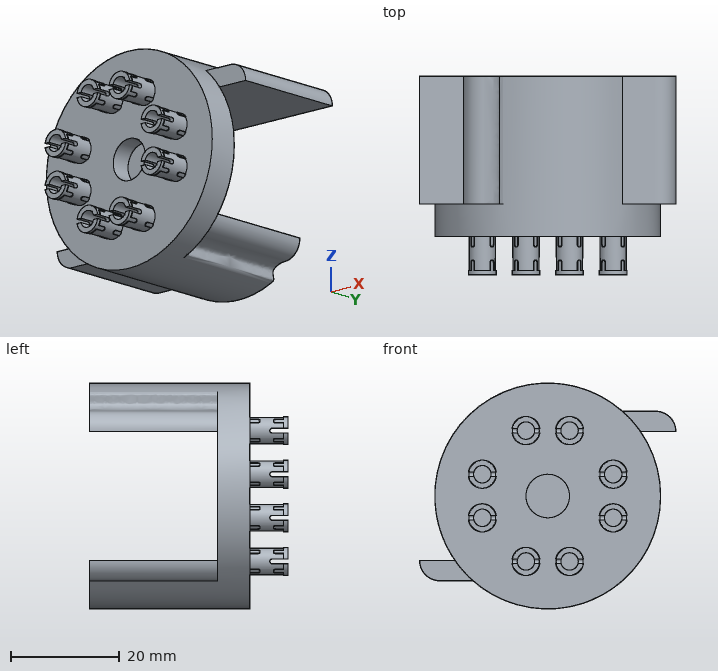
import cadquery as cq
import math


plate_diameter = 41.5
plate_radius = plate_diameter / 2
plate_thickness = 6.0
socket_radius = 4.0
socket_depth = 4.0

body_depth = 29.5
arm_inner_height = 11.8
arm_thickness = 3.75
arm_top = arm_inner_height + arm_thickness
wing_reach = 23.55
short_reach = 15.45
shoulder_offset = 8.2
hollow_wall_offset = 8.75
hollow_rise = 0.55
hollow_bend = 0.75
hollow_roll = 0.35

pin_near_offset = 4.0
pin_far_offset = 3 * pin_near_offset
pin_length = 7.0
pin_radius = 2.45
pin_bore_radius = 1.6
collar_radius = 2.6
collar_length = 0.85
slot_width = 0.85
slot_depth = 3.35
rib_width = 0.85
rib_length = 1.9
rib_angles = (45, 135, 225, 315)


def arc_point(center_x, center_z, radius, angle):
    """Point on a circle in the XZ plane at the given angle in degrees."""
    turn = math.radians(angle)
    return (center_x + radius * math.cos(turn), center_z + radius * math.sin(turn))


def half_turn(shape):
    """The shape turned half a turn about the Y axis, from the upper arm to the lower one."""
    return shape.rotate((0, 0, 0), (0, 1, 0), 180)


def make_arm_gap():
    """Open space behind the plate, between the flat faces of the two arms."""
    gap_depth = body_depth - plate_thickness
    return (
        cq.Workplane("XZ", origin=(0, plate_thickness, 0))
        .rect(2 * plate_radius, 2 * arm_inner_height)
        .extrude(-gap_depth)
    )


def make_lip_relief():
    """Material taken off the -X side of the upper arm, leaving a rounded lip below a hollow."""
    lip_center = arm_thickness - short_reach
    shoulder_height = math.sqrt(plate_radius**2 - shoulder_offset**2)

    hollow = [
        (-hollow_wall_offset - hollow_bend, arm_top + hollow_rise),
        (-hollow_wall_offset, arm_top + hollow_rise + hollow_bend),
        (-hollow_wall_offset, shoulder_height - hollow_roll),
        (-shoulder_offset, shoulder_height),
    ]

    return (
        cq.Workplane("XZ", origin=(0, plate_thickness, 0))
        .moveTo(-short_reach, arm_inner_height)
        .threePointArc(
            arc_point(lip_center, arm_inner_height, arm_thickness, 135),
            (lip_center, arm_top),
        )
        .spline(hollow, tangents=[(1, 0), (1, 1)], includeCurrent=True)
        .lineTo(-plate_radius, shoulder_height)
        .lineTo(-plate_radius, arm_inner_height)
        .close()
        .extrude(plate_thickness - body_depth)
    )


def make_wing():
    """Flat wing of the upper arm toward +X, with its upper outer edge rounded over."""
    wing_center = wing_reach - arm_thickness
    return (
        cq.Workplane("XZ", origin=(0, plate_thickness, 0))
        .moveTo(0, arm_inner_height)
        .lineTo(0, arm_top)
        .lineTo(wing_center, arm_top)
        .threePointArc(
            arc_point(wing_center, arm_inner_height, arm_thickness, 45),
            (wing_reach, arm_inner_height),
        )
        .close()
        .extrude(plate_thickness - body_depth)
    )


def make_housing():
    """Round plate with a blind socket in its open face and two arms behind it."""
    lip_relief = make_lip_relief()
    wing = make_wing()
    socket = cq.Workplane("XZ").circle(socket_radius).extrude(-socket_depth)
    housing = cq.Workplane("XZ").circle(plate_radius).extrude(-body_depth)
    housing = housing.cut(make_arm_gap()).cut(lip_relief).cut(half_turn(lip_relief))
    return housing.union(wing).union(half_turn(wing)).cut(socket)


def make_rib(start, direction, angle):
    """Raised rib with a round end, running along the pin from `start` out to the collar radius."""
    straight = rib_length - rib_width / 2
    bar = (
        cq.Workplane("XY")
        .center(0, start + direction * straight / 2)
        .rect(rib_width, straight)
        .extrude(2 * collar_radius)
    )
    tip = (
        cq.Workplane("XY")
        .center(0, start + direction * straight)
        .circle(rib_width / 2)
        .extrude(2 * collar_radius)
    )
    limit = cq.Workplane("XZ").circle(collar_radius).extrude(pin_length)
    return bar.union(tip).intersect(limit).rotate((0, 0, 0), (0, 1, 0), angle)


def make_pin():
    """Hollow pin with an end collar, a cross slot through the end and ribs at both ends."""
    collar_start = pin_length - collar_length
    pin = cq.Workplane("XZ").circle(pin_radius).extrude(pin_length)
    collar = cq.Workplane("XZ", origin=(0, -collar_start, 0)).circle(collar_radius).extrude(collar_length)
    pin = pin.union(collar)
    for angle in rib_angles:
        pin = pin.union(make_rib(0, -1, angle))
        pin = pin.union(make_rib(-collar_start, 1, angle))

    bore = cq.Workplane("XZ").circle(pin_bore_radius).extrude(pin_length)
    slot_straight = slot_depth - slot_width / 2
    slot = (
        cq.Workplane("YZ")
        .center(slot_straight / 2 - pin_length, 0)
        .rect(slot_straight, slot_width)
        .extrude(collar_radius, both=True)
    )
    slot_end = (
        cq.Workplane("YZ")
        .center(slot_straight - pin_length, 0)
        .circle(slot_width / 2)
        .extrude(collar_radius, both=True)
    )
    return pin.cut(bore).cut(slot).cut(slot_end)


def make_pins():
    """Eight separate pins at uneven spacing, mirrored about both the X and the Z direction."""
    pin = make_pin()
    solids = []
    for across, up in ((pin_near_offset, pin_far_offset), (pin_far_offset, pin_near_offset)):
        for side_x in (-1, 1):
            for side_z in (-1, 1):
                solids.append(pin.translate((side_x * across, 0, side_z * up)).val())
    return solids


housing = make_housing()
pins = make_pins()
result = cq.Compound.makeCompound([housing.val(), *pins])